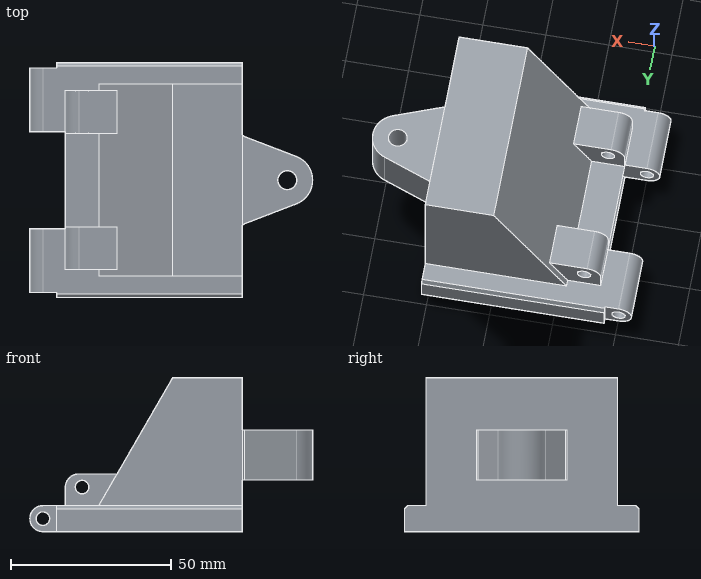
import cadquery as cq
import math

base_start = 8.4
base_end = 66.4
base_width = 73.4
base_height = 8.2
edge_chamfer = 1.1

knuckle_radius = base_height / 2
knuckle_inner_y = 15.1
knuckle_outer_y = 35.1
pin_diameter = 4.2
notch_edge_x = 11.1
notch_radius = 5.0
notch_depth = notch_radius - math.sqrt(notch_radius**2 - knuckle_radius**2)
notch_center_x = notch_edge_x + notch_depth - notch_radius

total_height = 48.2
housing_width = 60.0
slope_angle = 60.0
slope_foot_x = 21.6
slope_top_x = slope_foot_x + (total_height - base_height) / math.tan(math.radians(slope_angle))

lug_inner_y = 14.6
lug_outer_y = 27.95
lug_top_z = 18.1
lug_radius = 4.3
lug_hole_x = 16.4
lug_hole_z = 14.0
lug_back_x = slope_foot_x + (lug_top_z - base_height) / math.tan(math.radians(slope_angle))

tongue_tip_x = 88.45
tongue_radius = 8.0
tongue_hole_x = tongue_tip_x - tongue_radius
tongue_hole_diameter = 5.8
tongue_bottom_z = 16.2
tongue_top_z = 31.8
tongue_side_angle = 21.0
tongue_root_x = 67.05
tongue_root_flare = 0.5


def extrude_y(profile, y_min, y_max):
    """Extrude an XZ profile between two Y positions."""
    return profile.extrude(y_max - y_min).translate((0, y_max, 0))


def cylinder_y(x, z, radius, y_min, y_max):
    return extrude_y(cq.Workplane("XZ").center(x, z).circle(radius), y_min, y_max)


def base_plate():
    plate = (
        cq.Workplane("XY")
        .box(base_end - base_start, base_width, base_height, centered=(False, True, False))
        .translate((base_start, 0, 0))
        .faces(">Z").edges("|X").chamfer(edge_chamfer)
    )
    gap = (
        cq.Workplane("XY")
        .box(notch_edge_x, 2 * knuckle_inner_y, base_height, centered=(False, True, False))
    )
    notch = cylinder_y(notch_center_x, knuckle_radius, notch_radius, -knuckle_inner_y, knuckle_inner_y)
    return plate.cut(gap).cut(notch)


def knuckle(y_min, y_max):
    profile = (
        cq.Workplane("XZ")
        .moveTo(base_start, 0)
        .lineTo(knuckle_radius, 0)
        .threePointArc((0, knuckle_radius), (knuckle_radius, base_height))
        .lineTo(base_start, base_height)
        .close()
    )
    return extrude_y(profile, y_min, y_max)


def housing():
    profile = cq.Workplane("XZ").polyline([
        (slope_foot_x, base_height),
        (slope_top_x, total_height),
        (base_end, total_height),
        (base_end, base_height),
    ]).close()
    return extrude_y(profile, -housing_width / 2, housing_width / 2)


def upper_lug(y_min, y_max):
    profile = cq.Workplane("XZ").polyline([
        (notch_edge_x, base_height),
        (notch_edge_x, lug_top_z),
        (lug_back_x, lug_top_z),
        (slope_foot_x, base_height),
    ]).close()
    lug = extrude_y(profile, y_min, y_max)
    return lug.faces("<X").edges(">Z").fillet(lug_radius)


def tongue():
    angle = math.radians(tongue_side_angle)
    tangent_x = tongue_hole_x + tongue_radius * math.sin(angle)
    tangent_y = tongue_radius * math.cos(angle)
    root_y = tangent_y + (tangent_x - tongue_root_x) * math.tan(angle)
    flare_y = root_y + tongue_root_flare
    return (
        cq.Workplane("XY")
        .workplane(offset=tongue_bottom_z)
        .moveTo(base_end, -flare_y)
        .lineTo(tongue_root_x, -root_y)
        .lineTo(tangent_x, -tangent_y)
        .threePointArc((tongue_tip_x, 0), (tangent_x, tangent_y))
        .lineTo(tongue_root_x, root_y)
        .lineTo(base_end, flare_y)
        .close()
        .moveTo(tongue_hole_x, 0)
        .circle(tongue_hole_diameter / 2)
        .extrude(tongue_top_z - tongue_bottom_z)
    )


result = base_plate().union(housing()).union(tongue())

for y_min, y_max in ((knuckle_inner_y, knuckle_outer_y), (-knuckle_outer_y, -knuckle_inner_y)):
    result = result.union(knuckle(y_min, y_max))
for y_min, y_max in ((lug_inner_y, lug_outer_y), (-lug_outer_y, -lug_inner_y)):
    result = result.union(upper_lug(y_min, y_max))

for x, z in ((knuckle_radius, knuckle_radius), (lug_hole_x, lug_hole_z)):
    result = result.cut(cylinder_y(x, z, pin_diameter / 2, -base_width / 2, base_width / 2))